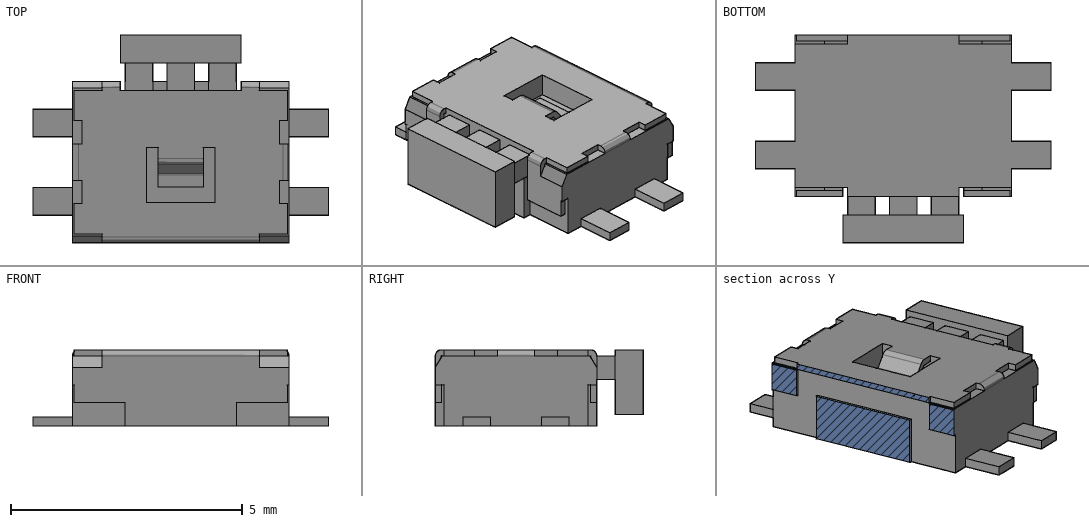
import cadquery as cq
import math

OVERALL_LENGTH = 6.4
HEIGHT = 1.65
SHEET = 0.135
HOUSING_LENGTH = 4.685
HOUSING_WIDTH = 3.495
HOUSING_TOP = HEIGHT - SHEET
WALL_RECESS = 0.19
WALL_Y = HOUSING_WIDTH / 2 - WALL_RECESS

CORNER_LENGTH = 0.64
CORNER_BOTTOM = 0.89
CORNER_CHAMFER_Y = 0.15
CORNER_CHAMFER_Z = 0.25
WALL_BLOCK_LENGTH = 2.41
WALL_BLOCK_TOP = 1.005

COVER_LENGTH = 4.615
SKIRT_BOTTOM = 0.505
SKIRT_UPPER_LENGTH = HOUSING_LENGTH - 2 * CORNER_LENGTH
REAR_OPENING_LENGTH = 2.61
SIDE_TAB_WIDTH = 0.795
SIDE_TAB_BOTTOM = CORNER_BOTTOM
SIDE_NOTCH_SPAN = 1.79
SIDE_NOTCH_X = 2.13

WINDOW_LENGTH = 1.485
WINDOW_REAR_Y = 0.32
WINDOW_FRONT_Y = -0.88
POCKET_FLOOR = 1.15
TONGUE_LENGTH = 0.98
TONGUE_BEND_Y = 0.08
TONGUE_FOOT_Y = -0.275
TONGUE_END_Y = -0.54
TONGUE_ANGLE = math.radians(52)
TONGUE_INNER_RADIUS = 0.04
TONGUE_OUTER_RADIUS = TONGUE_INNER_RADIUS + SHEET

LEAD_WIDTH = 0.6
LEAD_THICKNESS = 0.2
LEAD_PITCH = 1.695

BUTTON_LENGTH = REAR_OPENING_LENGTH
BUTTON_REAR_Y = 2.75
BUTTON_DEPTH = 0.61
BUTTON_BOTTOM = 0.25
FINGER_WIDTH = 0.6
FINGER_PITCH = 0.9


def block(length, y_range, z_range, x_center=0.0):
    """Box of the given X length between two Y and two Z values."""
    y0, y1 = y_range
    z0, z1 = z_range
    box = cq.Workplane("XY").box(length, y1 - y0, z1 - z0, centered=(True, False, False))
    return box.translate((x_center, y0, z0))


def mirrored_y(shape):
    """Copy of a shape on the opposite side of the XZ plane."""
    return shape.mirror("XZ")


def make_housing():
    body = block(HOUSING_LENGTH, (-WALL_Y, WALL_Y), (0, HOUSING_TOP))
    half_width = HOUSING_WIDTH / 2
    corner_profile = [
        (WALL_Y, CORNER_BOTTOM),
        (half_width, CORNER_BOTTOM),
        (half_width, HOUSING_TOP - CORNER_CHAMFER_Z),
        (half_width - CORNER_CHAMFER_Y, HOUSING_TOP),
        (WALL_Y, HOUSING_TOP),
    ]
    for x_start in (-HOUSING_LENGTH / 2, HOUSING_LENGTH / 2 - CORNER_LENGTH):
        corner = cq.Workplane("YZ", origin=(x_start, 0, 0)).polyline(corner_profile).close()
        corner = corner.extrude(CORNER_LENGTH)
        body = body.union(corner).union(mirrored_y(corner))
    wall_block = block(WALL_BLOCK_LENGTH, (WALL_Y, half_width), (0, WALL_BLOCK_TOP))
    body = body.union(wall_block).union(mirrored_y(wall_block))
    pocket = block(WINDOW_LENGTH, (WINDOW_FRONT_Y, WINDOW_REAR_Y), (POCKET_FLOOR, HOUSING_TOP))
    return body.cut(pocket)


def make_rear_skirt():
    """Full-length rear skirt: rounded strip at the bend, widening below the housing corners."""
    outer_y = HOUSING_WIDTH / 2
    bend = block(SKIRT_UPPER_LENGTH, (0, outer_y), (SKIRT_BOTTOM, HEIGHT))
    bend = bend.edges(">Y and >Z").fillet(SHEET)
    bend = bend.cut(block(SKIRT_UPPER_LENGTH, (0, outer_y - SHEET), (SKIRT_BOTTOM, HOUSING_TOP)))
    lower = block(COVER_LENGTH, (outer_y - SHEET, outer_y), (SKIRT_BOTTOM, CORNER_BOTTOM))
    return bend.union(lower)


def make_side_tabs():
    """Tabs bent down over the two ends, flush with the housing."""
    tab_y = (-SIDE_TAB_WIDTH / 2, SIDE_TAB_WIDTH / 2)
    tabs = block(HOUSING_LENGTH, tab_y, (SIDE_TAB_BOTTOM, HEIGHT))
    tabs = tabs.edges("|Y and >Z").fillet(SHEET)
    inside = block(HOUSING_LENGTH - 2 * SHEET, tab_y, (SIDE_TAB_BOTTOM, HOUSING_TOP))
    return tabs.cut(inside)


def make_tongue():
    """Strip bent down from the rear edge of the window to a flat foot."""
    sin_full, cos_full = math.sin(TONGUE_ANGLE), math.cos(TONGUE_ANGLE)
    sin_half, cos_half = math.sin(TONGUE_ANGLE / 2), math.cos(TONGUE_ANGLE / 2)
    radii_sum = TONGUE_OUTER_RADIUS + TONGUE_INNER_RADIUS
    slope_run = TONGUE_BEND_Y - TONGUE_FOOT_Y - radii_sum * sin_full
    drop = radii_sum * (1 - cos_full) + slope_run * math.tan(TONGUE_ANGLE)
    foot_top = HEIGHT - drop
    upper_center_z = HEIGHT - TONGUE_OUTER_RADIUS
    lower_center_z = foot_top + TONGUE_INNER_RADIUS

    def upper_bend(radius, sine, cosine):
        return (TONGUE_BEND_Y - radius * sine, upper_center_z + radius * cosine)

    def lower_bend(radius, sine, cosine):
        return (TONGUE_FOOT_Y + radius * sine, lower_center_z - radius * cosine)

    convex, concave = TONGUE_OUTER_RADIUS, TONGUE_INNER_RADIUS
    profile = (
        cq.Workplane("YZ", origin=(-TONGUE_LENGTH / 2, 0, 0))
        .moveTo(WINDOW_REAR_Y, HEIGHT)
        .lineTo(TONGUE_BEND_Y, HEIGHT)
        .threePointArc(upper_bend(convex, sin_half, cos_half), upper_bend(convex, sin_full, cos_full))
        .lineTo(*lower_bend(concave, sin_full, cos_full))
        .threePointArc(lower_bend(concave, sin_half, cos_half), (TONGUE_FOOT_Y, foot_top))
        .lineTo(TONGUE_END_Y, foot_top)
        .lineTo(TONGUE_END_Y, foot_top - SHEET)
        .lineTo(TONGUE_FOOT_Y, foot_top - SHEET)
        .threePointArc(lower_bend(convex, sin_half, cos_half), lower_bend(convex, sin_full, cos_full))
        .lineTo(*upper_bend(concave, sin_full, cos_full))
        .threePointArc(upper_bend(concave, sin_half, cos_half), (TONGUE_BEND_Y, HOUSING_TOP))
        .lineTo(WINDOW_REAR_Y, HOUSING_TOP)
        .close()
    )
    return profile.extrude(TONGUE_LENGTH)


def make_cover():
    sheet_z = (HOUSING_TOP, HEIGHT)
    plate = block(COVER_LENGTH, (-WALL_Y, WALL_Y), sheet_z)
    notch_depth = COVER_LENGTH / 2 - SIDE_NOTCH_X
    notch_y = (-SIDE_NOTCH_SPAN / 2, SIDE_NOTCH_SPAN / 2)
    for side in (-1, 1):
        plate = plate.cut(block(notch_depth, notch_y, sheet_z, side * (SIDE_NOTCH_X + notch_depth / 2)))
    rear_skirt = make_rear_skirt()
    front_skirt = mirrored_y(rear_skirt)
    rear_opening = block(REAR_OPENING_LENGTH, (WALL_Y, HOUSING_WIDTH / 2), (SKIRT_BOTTOM, HEIGHT))
    cover = plate.union(front_skirt).union(rear_skirt.cut(rear_opening)).union(make_side_tabs())
    cover = cover.cut(block(WINDOW_LENGTH, (WINDOW_FRONT_Y, WINDOW_REAR_Y), sheet_z))
    return cover.union(make_tongue())


def make_leads():
    leads = cq.Workplane("XY")
    for y_center in (-LEAD_PITCH / 2, LEAD_PITCH / 2):
        y_range = (y_center - LEAD_WIDTH / 2, y_center + LEAD_WIDTH / 2)
        leads = leads.union(block(OVERALL_LENGTH, y_range, (0, LEAD_THICKNESS)))
    return leads


def make_button():
    bar_front_y = BUTTON_REAR_Y - BUTTON_DEPTH
    button = block(BUTTON_LENGTH, (bar_front_y, BUTTON_REAR_Y), (BUTTON_BOTTOM, HEIGHT))
    for x_center in (-FINGER_PITCH, 0, FINGER_PITCH):
        finger = block(FINGER_WIDTH, (WALL_Y, bar_front_y), (WALL_BLOCK_TOP, HOUSING_TOP), x_center)
        button = button.union(finger)
    return button


result = make_housing().union(make_cover()).union(make_leads()).union(make_button())